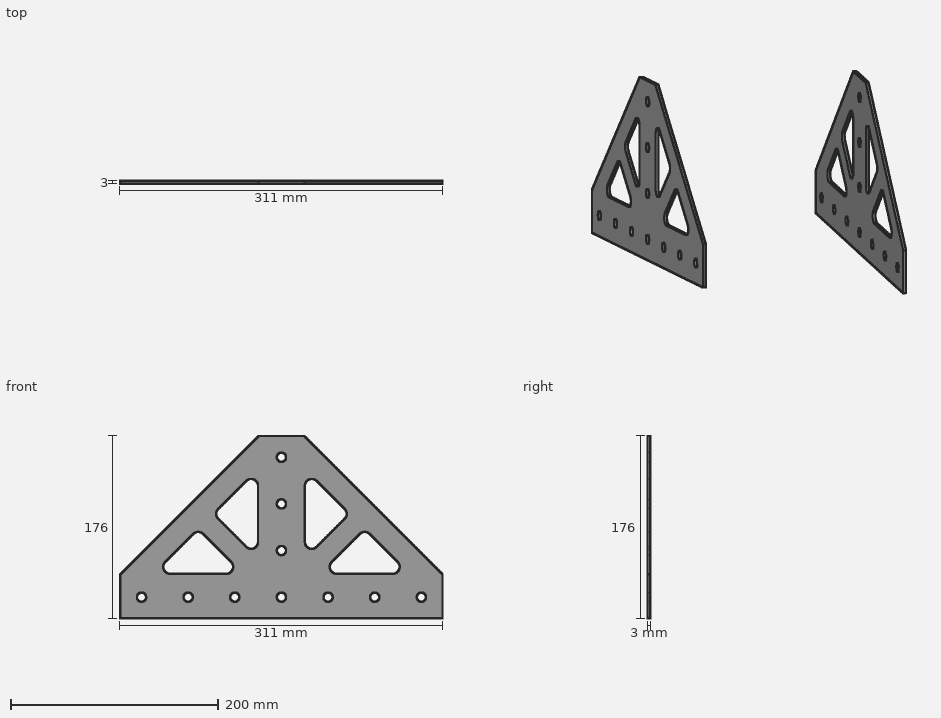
import cadquery as cq
import math

WIDTH = 311.0
HEIGHT = 176.0
THICKNESS = 3.0
EDGE_MARGIN = 20.5
STRAP_HALF_WIDTH = 22.7
SIDE_HEIGHT = 42.5

HOLE_DIAMETER = 8.7
HOLES_PER_ARM = 3
HOLE_PITCH = (WIDTH / 2 - EDGE_MARGIN) / HOLES_PER_ARM

WINDOW_RADIUS = 6.5
RIM_WIDTH = 22.5
BRACE_WIDTH = 20.8

half_width = WIDTH / 2
top_half_width = half_width - (HEIGHT - SIDE_HEIGHT)
slope_sum = half_width + SIDE_HEIGHT


def plate():
    """Flat gusset, centred on X and standing on Z = 0."""
    outline = [
        (-half_width, 0),
        (half_width, 0),
        (half_width, SIDE_HEIGHT),
        (top_half_width, HEIGHT),
        (-top_half_width, HEIGHT),
        (-half_width, SIDE_HEIGHT),
    ]
    return cq.Workplane("XZ").polyline(outline).close().extrude(THICKNESS / 2, both=True)


def hole_centres():
    """Bottom row plus the central column, sharing the middle hole."""
    row = [(i * HOLE_PITCH, EDGE_MARGIN) for i in range(-HOLES_PER_ARM, HOLES_PER_ARM + 1)]
    column = [(0, EDGE_MARGIN + i * HOLE_PITCH) for i in range(1, HOLES_PER_ARM + 1)]
    return row + column


def hole_cutter():
    holes = cq.Workplane("XZ").pushPoints(hole_centres()).circle(HOLE_DIAMETER / 2)
    return holes.extrude(THICKNESS, both=True)


def window_corners():
    """Sharp corners of the two right-hand windows: upper, then lower."""
    inner_x = STRAP_HALF_WIDTH
    base_z = EDGE_MARGIN + STRAP_HALF_WIDTH
    rim_sum = slope_sum - RIM_WIDTH * math.sqrt(2)
    centre_offset = base_z - inner_x
    upper_offset = centre_offset + BRACE_WIDTH / math.sqrt(2)
    lower_offset = centre_offset - BRACE_WIDTH / math.sqrt(2)
    upper = [
        (inner_x, inner_x + upper_offset),
        (inner_x, rim_sum - inner_x),
        ((rim_sum - upper_offset) / 2, (rim_sum + upper_offset) / 2),
    ]
    lower = [
        (base_z - lower_offset, base_z),
        (rim_sum - base_z, base_z),
        ((rim_sum - lower_offset) / 2, (rim_sum + lower_offset) / 2),
    ]
    return [upper, lower]


def window_cutter(corners):
    prism = cq.Workplane("XZ").polyline(corners).close().extrude(THICKNESS, both=True)
    return prism.edges("|Y").fillet(WINDOW_RADIUS)


result = plate().cut(hole_cutter())
for corners in window_corners():
    window = window_cutter(corners)
    result = result.cut(window).cut(window.mirror("YZ"))